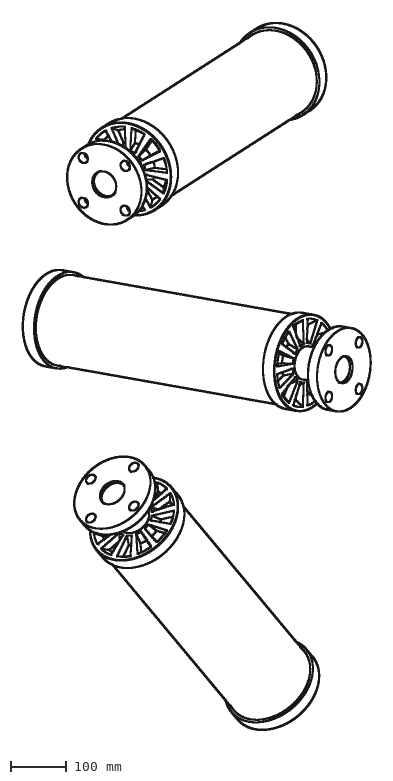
import cadquery as cq

total_length = 673.0
cap_length = 26.0
neck_length = 44.5
collar_length = 22.0
flange_length = 23.0

cap_diameter = 176.0
tube_diameter = 165.0
neck_diameter = 60.5
collar_diameter = 82.0
flange_diameter = 152.0
cap_chamfer = 1.0
flange_chamfer = 2.0

bore_diameter = 48.5
bore_depth = flange_length + collar_length + neck_length
bore_mouth_diameter = 49.0
bore_mouth_depth = 6.0
centre_mark_diameter = 2.0
centre_mark_depth = 2.0
bolt_hole_diameter = 19.0
bolt_hole_count = 4
bolt_circle_diameter = 121.0
first_bolt_angle = 45

pocket_count = 12
pocket_inner_radius = 36.0
pocket_outer_radius = 160.0 / 2
pocket_depth = 17.0
pocket_wall_run = 10.0
rib_inner_width = 9.0
rib_outer_width = 14.0
rib_overrun = 3.5

flange_front = -total_length / 2
collar_front = flange_front + flange_length
collar_rear = collar_front + collar_length
front_cap_face = collar_rear + neck_length
tube_front = front_cap_face + cap_length
rear_face = total_length / 2
tube_rear = rear_face - cap_length


def disc(diameter, y_start, y_end):
    """Solid cylinder about the Y axis between two stations."""
    return (
        cq.Workplane("XZ", origin=(0, y_start, 0))
        .circle(diameter / 2)
        .extrude(y_start - y_end)
    )


def make_body():
    """Tube with its two end caps, the neck, the collar and the flange."""
    front_cap = disc(cap_diameter, front_cap_face, tube_front).faces("<Y").chamfer(cap_chamfer)
    collar = disc(collar_diameter, collar_front, collar_rear).faces(">Y").chamfer(flange_chamfer)
    flange = disc(flange_diameter, flange_front, collar_front).faces(">Y").chamfer(flange_chamfer)
    return (
        disc(tube_diameter, tube_front, tube_rear)
        .union(disc(cap_diameter, tube_rear, rear_face))
        .union(front_cap)
        .union(disc(neck_diameter, collar_rear, front_cap_face))
        .union(collar)
        .union(flange)
    )


def pocket_groove():
    """Ring with a trapezoidal section, narrowing from the cap face to the pocket floor."""
    floor = front_cap_face + pocket_depth
    section = [
        (pocket_inner_radius, front_cap_face),
        (pocket_outer_radius, front_cap_face),
        (pocket_outer_radius - pocket_wall_run, floor),
        (pocket_inner_radius + pocket_wall_run, floor),
    ]
    return cq.Workplane("XY").polyline(section).close().revolve(360, (0, 0, 0), (0, 1, 0))


def rib():
    """Bar along +X that widens outward; it overruns the groove at both ends."""
    widening = (rib_outer_width - rib_inner_width) / (pocket_outer_radius - pocket_inner_radius)
    start_radius = pocket_inner_radius - rib_overrun
    end_radius = pocket_outer_radius + rib_overrun
    start_half_width = (rib_inner_width - widening * rib_overrun) / 2
    end_half_width = (rib_outer_width + widening * rib_overrun) / 2
    outline = [
        (start_radius, -start_half_width),
        (end_radius, -end_half_width),
        (end_radius, end_half_width),
        (start_radius, start_half_width),
    ]
    return (
        cq.Workplane("XZ", origin=(0, front_cap_face, 0))
        .polyline(outline)
        .close()
        .extrude(-pocket_depth)
    )


def cut_pockets(body):
    pockets = pocket_groove()
    for index in range(pocket_count):
        pockets = pockets.cut(rib().rotate((0, 0, 0), (0, 1, 0), index * 360 / pocket_count))
    return body.cut(pockets)


def cut_flange_holes(body):
    """Stepped central bore with its centre mark, and the bolt holes through the flange."""
    bolt_holes = (
        cq.Workplane("XZ", origin=(0, flange_front, 0))
        .polarArray(bolt_circle_diameter / 2, first_bolt_angle, 360, bolt_hole_count)
        .circle(bolt_hole_diameter / 2)
        .extrude(-flange_length)
    )
    bore_floor = flange_front + bore_depth
    bore = disc(bore_diameter, flange_front, bore_floor)
    bore_mouth = disc(bore_mouth_diameter, flange_front, flange_front + bore_mouth_depth)
    centre_mark = disc(centre_mark_diameter, bore_floor, bore_floor + centre_mark_depth)
    return body.cut(bolt_holes).cut(bore).cut(bore_mouth).cut(centre_mark)


result = cut_flange_holes(cut_pockets(make_body()))